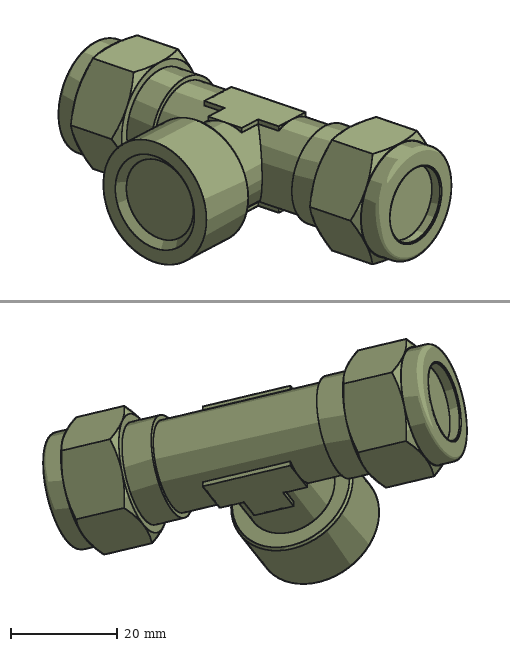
import cadquery as cq
import math


run_length = 78.0
half_run = run_length / 2
tube_diameter = 18.0
tube_radius = tube_diameter / 2
collar_diameter = 20.0
collar_end = 22.0

nut_across_flats = 23.0
nut_corner_diameter = nut_across_flats / math.cos(math.radians(30))
nut_start = 4.05
nut_end = 16.0
nut_chamfer_angle = 30.0
corner_clearance = 0.8
sleeve_diameter = 22.8
sleeve_fillet = 1.0

end_bore_diameter = 15.05
end_bore_depth = 2.2
end_bore_chamfer = 0.2

branch_length = 30.0
socket_length = 13.0
socket_diameter = 25.0
socket_chamfer = 0.5
recess_mouth_diameter = 19.2
recess_floor_diameter = 16.2
recess_depth = 1.5

pad_bar_length = tube_diameter
pad_width = 8.1
pad_reach = tube_radius


def cylinder_x(start, end, diameter):
    return cq.Workplane("YZ").workplane(offset=start).circle(diameter / 2).extrude(end - start)


def make_tubes():
    run = cylinder_x(-half_run + nut_start, half_run - nut_start, tube_diameter)
    branch = cq.Workplane("XZ").circle(tube_radius).extrude(branch_length - socket_length / 2)
    return run.union(branch)


def make_pads():
    """One T-shaped block whose upper and lower faces are the two flats."""
    bar = cq.Workplane("XY").box(pad_bar_length, pad_width, tube_diameter)
    stem = cq.Workplane("XY").box(pad_width, pad_reach, tube_diameter, centered=(True, False, True))
    return bar.union(stem.translate((0, -pad_reach, 0)))


def make_nut():
    """Hexagon on the +X end, flats facing +Z and -Z, both ends cut by a cone."""
    nut_length = nut_end - nut_start
    hexagon = (
        cq.Workplane("YZ")
        .workplane(offset=half_run - nut_end)
        .polygon(6, nut_corner_diameter)
        .extrude(nut_length)
    )
    envelope_radius = nut_corner_diameter / 2 + corner_clearance
    radial_step = envelope_radius - nut_across_flats / 2
    axial_step = radial_step * math.tan(math.radians(nut_chamfer_angle))
    envelope = cylinder_x(half_run - nut_end, half_run - nut_start, 2 * envelope_radius)
    envelope = envelope.faces("<X or >X").chamfer(axial_step, radial_step)
    return hexagon.intersect(envelope)


def make_run_end():
    """Collar, nut and sleeve on the +X end."""
    collar = cylinder_x(half_run - collar_end, half_run - nut_start, collar_diameter)
    sleeve = cylinder_x(half_run - nut_start, half_run, sleeve_diameter)
    sleeve = sleeve.faces(">X").edges().fillet(sleeve_fillet)
    return collar.union(make_nut()).union(sleeve)


def make_end_bore():
    """Blind bore with a chamfered rim in the +X end."""
    radius = end_bore_diameter / 2
    rim_radius = radius + end_bore_chamfer
    profile = [
        (half_run - end_bore_depth, 0),
        (half_run - end_bore_depth, radius),
        (half_run - end_bore_chamfer, radius),
        (half_run, rim_radius),
        (half_run, 0),
    ]
    return cq.Workplane("XY").polyline(profile).close().revolve(360, (0, 0, 0), (1, 0, 0))


def make_socket():
    socket = (
        cq.Workplane("XZ")
        .workplane(offset=branch_length - socket_length)
        .circle(socket_diameter / 2)
        .extrude(socket_length)
    )
    return socket.faces(">Y").edges().chamfer(socket_chamfer)


def make_socket_recess():
    """Conical recess in the free end of the socket."""
    return (
        cq.Workplane("XZ")
        .workplane(offset=branch_length - recess_depth)
        .circle(recess_floor_diameter / 2)
        .workplane(offset=recess_depth)
        .circle(recess_mouth_diameter / 2)
        .loft()
    )


run_end = make_run_end()
end_bore = make_end_bore()

result = make_tubes().union(make_pads()).union(make_socket())
result = result.union(run_end).union(run_end.mirror("YZ"))
result = result.cut(end_bore).cut(end_bore.mirror("YZ"))
result = result.cut(make_socket_recess())